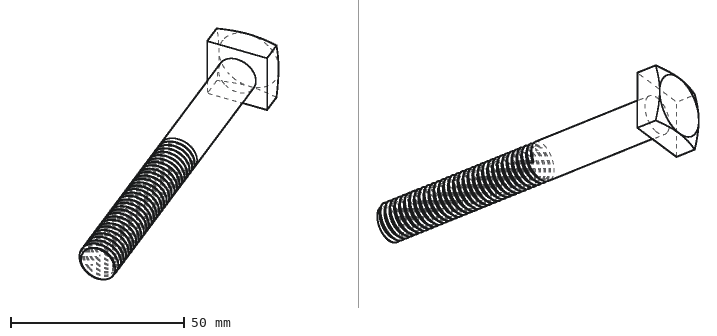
import cadquery as cq
import math

total_length = 104.0
head_width = 19.0
head_height = 8.0
head_chamfer_angle = 20.0
shank_diameter = 12.0

thread_length = 54.9
thread_turns = 31.4
flank_angle = 30.0
groove_start_angle = -113.0
lead_in_turns = 1

shank_radius = shank_diameter / 2
pitch = thread_length / thread_turns
crest_width = pitch / 8
root_width = pitch / 4
flank_slope = math.tan(math.radians(flank_angle))
thread_depth = (pitch - crest_width - root_width) / (2 * flank_slope)


def make_head():
    """Square head whose outer corners are turned to a shallow cone."""
    inscribed_radius = head_width / 2
    cone_slope = math.tan(math.radians(head_chamfer_angle))
    cone_height = head_height + inscribed_radius * cone_slope
    cone_radius = cone_height / cone_slope
    underside = total_length - head_height
    block = (
        cq.Workplane("XY", origin=(0, 0, underside))
        .rect(head_width, head_width)
        .extrude(head_height)
    )
    cone = (
        cq.Workplane("XZ", origin=(0, 0, underside))
        .polyline([(0, 0), (cone_radius, 0), (0, cone_height)])
        .close()
        .revolve(360, (0, 0, 0), (0, 1, 0))
    )
    return block.intersect(cone)


def make_shank():
    """Plain round shank from the tip to the underside of the head."""
    return cq.Workplane("XY").circle(shank_radius).extrude(total_length - head_height)


def make_thread_groove():
    """Helical trapezoid groove running from beyond the tip up to the plain shank."""
    overshoot = 0.1
    root_radius = shank_radius - thread_depth
    outer_radius = shank_radius + overshoot
    root_half = root_width / 2
    outer_half = root_half + (outer_radius - root_radius) * flank_slope
    profile = (
        cq.Workplane("XZ")
        .polyline([
            (root_radius, -root_half),
            (outer_radius, -outer_half),
            (outer_radius, outer_half),
            (root_radius, root_half),
        ])
        .close()
    )
    helix_length = thread_length + lead_in_turns * pitch
    helix = cq.Workplane(cq.Wire.makeHelix(pitch, helix_length, root_radius))
    groove = profile.sweep(helix, isFrenet=True)
    return (
        groove.translate((0, 0, -lead_in_turns * pitch))
        .rotate((0, 0, 0), (0, 0, 1), groove_start_angle)
    )


bolt = make_shank().cut(make_thread_groove()).union(make_head())

result = bolt.rotate((0, 0, 0), (1, 0, 0), -90)